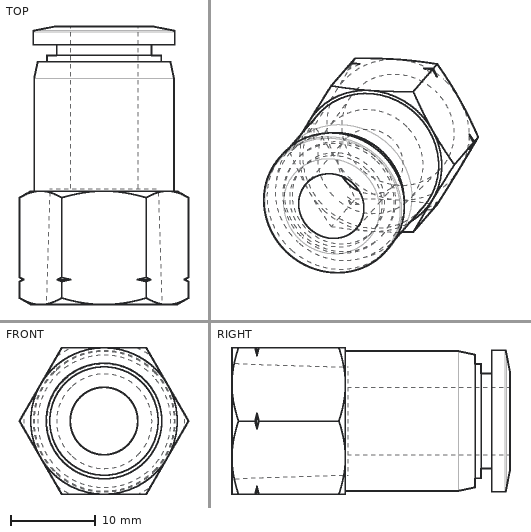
import cadquery as cq
import math

ACROSS_FLATS = 17.45
ACROSS_CORNERS = ACROSS_FLATS / math.cos(math.radians(30))
HEX_LENGTH = 13.5
CORNER_CHAMFER_ANGLE = 30

GROOVE_Y = 2.98
GROOVE_WIDTH = 0.5
GROOVE_DEPTH = 0.5

BODY_RADIUS = 8.35
BODY_END = 26.9
SHOULDER_RADIUS = 7.9
SHOULDER_END = 28.93
COLLAR_RADIUS = 6.82
COLLAR_END = 29.65
NECK_RADIUS = 5.65
NECK_END = 30.9
BUTTON_RADIUS = 8.45
BUTTON_TOP_RADIUS = 5.9
BUTTON_RIM_END = 32.6
BUTTON_RIM_FILLET = 0.15
TOTAL_LENGTH = 33.1

SOCKET_MOUTH_RADIUS = 6.9
SOCKET_FLOOR_RADIUS = 6.45
SOCKET_TAPER = 1 / 16
SOCKET_DEPTH = 2 * (SOCKET_MOUTH_RADIUS - SOCKET_FLOOR_RADIUS) / SOCKET_TAPER
BORE_RADIUS = 4.0


def turned(profile):
    """Revolve a closed outline of (radius, y) points about the Y axis."""
    return cq.Workplane("XY").polyline(profile).close().revolve(360, (0, 0, 0), (0, 1, 0))


def make_hexagon():
    corner_radius = ACROSS_CORNERS / 2
    flat_radius = ACROSS_FLATS / 2
    chamfer_height = (corner_radius - flat_radius) * math.tan(math.radians(CORNER_CHAMFER_ANGLE))
    prism = cq.Workplane("XZ").polygon(6, ACROSS_CORNERS).extrude(-HEX_LENGTH)
    envelope = turned([
        (0, 0),
        (flat_radius, 0),
        (corner_radius, chamfer_height),
        (corner_radius, GROOVE_Y - GROOVE_WIDTH / 2),
        (corner_radius - GROOVE_DEPTH, GROOVE_Y),
        (corner_radius, GROOVE_Y + GROOVE_WIDTH / 2),
        (corner_radius, HEX_LENGTH - chamfer_height),
        (flat_radius, HEX_LENGTH),
        (0, HEX_LENGTH),
    ])
    return prism.intersect(envelope)


def make_body():
    return turned([
        (0, 0),
        (BODY_RADIUS, 0),
        (BODY_RADIUS, BODY_END),
        (SHOULDER_RADIUS, SHOULDER_END),
        (COLLAR_RADIUS, SHOULDER_END),
        (COLLAR_RADIUS, COLLAR_END),
        (NECK_RADIUS, COLLAR_END),
        (NECK_RADIUS, NECK_END),
        (0, NECK_END),
    ])


def make_button():
    button = turned([
        (0, NECK_END),
        (BUTTON_RADIUS, NECK_END),
        (BUTTON_RADIUS, BUTTON_RIM_END),
        (BUTTON_TOP_RADIUS, TOTAL_LENGTH),
        (0, TOTAL_LENGTH),
    ])
    rim_edge = button.edges(">>Y[-3]")
    return rim_edge.fillet(BUTTON_RIM_FILLET)


def make_passage():
    return turned([
        (0, 0),
        (SOCKET_MOUTH_RADIUS, 0),
        (SOCKET_FLOOR_RADIUS, SOCKET_DEPTH),
        (BORE_RADIUS, SOCKET_DEPTH),
        (BORE_RADIUS, TOTAL_LENGTH),
        (0, TOTAL_LENGTH),
    ])


result = make_hexagon().union(make_body()).union(make_button()).cut(make_passage())